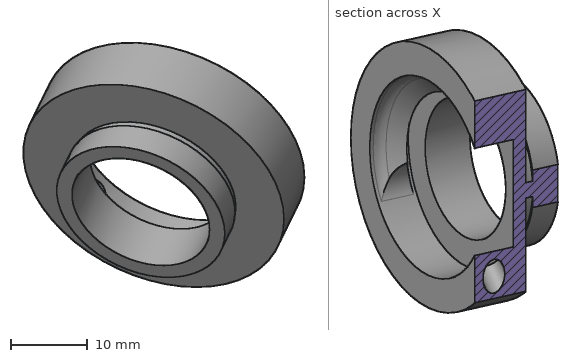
import cadquery as cq
import math

collar_diameter = 23.2
collar_length = 4.0
neck_diameter = 22.7
neck_length = 1.0
flange_diameter = 36.0
flange_thickness = 8.0
total_length = collar_length + neck_length + flange_thickness

bore_diameter = 19.0
socket_diameter = 27.0
socket_depth = 6.0
socket_floor = total_length - socket_depth

screw_diameter = 3.3
screw_from_back = 3.0
screw_angle = 224.0

lug_angle = screw_angle - 180.0
lug_half_span = 75.0
lug_from_back = 0.5
lug_crest_radius = 10.6
lug_end_radius = 3.7
lug_back_fillet = 2.0
lug_back_slope = math.radians(50.0)
lug_flank_slope = math.radians(30.0)

socket_radius = socket_diameter / 2
lug_back = total_length - lug_from_back
lug_root_radius = (socket_radius + flange_diameter / 2) / 2


def cylinder(diameter, start, length):
    """Cylinder on the Y axis, from Y = start."""
    return cq.Workplane("XZ", origin=(0, start, 0)).circle(diameter / 2).extrude(-length)


def polar(radius, degrees):
    """Point (X, Z) at a radius and angle about the Y axis."""
    angle = math.radians(degrees)
    return (radius * math.cos(angle), radius * math.sin(angle))


def radial_hole():
    """Round cutter from the axis outward through the flange wall."""
    outward_x, outward_z = polar(1, screw_angle)
    start = cq.Vector(0, total_length - screw_from_back, 0)
    outward = cq.Vector(outward_x, 0, outward_z)
    return cq.Workplane(cq.Solid.makeCylinder(screw_diameter / 2, flange_diameter, start, outward))


def lug_ring():
    """Full ring of the lug profile: undercut front flank, sloped back filleted into the socket wall."""

    def fillet_point(sweep):
        """Point (radius, Y) after the back fillet has turned away from the wall by the given sweep."""
        radius = socket_radius - lug_back_fillet * (1 - math.cos(sweep))
        return (radius, lug_back - lug_back_fillet * math.sin(sweep))

    slope_radius, slope_y = fillet_point(lug_back_slope)
    crest_y = slope_y - (slope_radius - lug_crest_radius) / math.tan(lug_back_slope)
    front_y = crest_y - (socket_radius - lug_crest_radius) * math.tan(lug_flank_slope)
    return (
        cq.Workplane("XY")
        .moveTo(lug_root_radius, front_y)
        .lineTo(socket_radius, front_y)
        .lineTo(lug_crest_radius, crest_y)
        .lineTo(slope_radius, slope_y)
        .threePointArc(fillet_point(lug_back_slope / 2), (socket_radius, lug_back))
        .lineTo(lug_root_radius, lug_back)
        .close()
        .revolve(360, (0, 0, 0), (0, 1, 0))
    )


def lug_plan():
    """Prism along Y that bounds the lug: a sector whose two ends curve out into the socket wall."""
    centre_radius = socket_radius - lug_end_radius

    def end_point(side, radius):
        """Point where the end arc has turned inward to the given radius."""
        cosine = (radius**2 + centre_radius**2 - lug_end_radius**2) / (2 * radius * centre_radius)
        return polar(radius, lug_angle + side * (lug_half_span - math.degrees(math.acos(cosine))))

    middle_radius = (socket_radius + lug_crest_radius) / 2
    low = lug_angle - lug_half_span
    high = lug_angle + lug_half_span
    return (
        cq.Workplane("XZ")
        .moveTo(0, 0)
        .lineTo(*end_point(-1, lug_crest_radius))
        .threePointArc(end_point(-1, middle_radius), polar(socket_radius, low))
        .lineTo(*polar(lug_root_radius, low))
        .threePointArc(polar(lug_root_radius, lug_angle), polar(lug_root_radius, high))
        .lineTo(*polar(socket_radius, high))
        .threePointArc(end_point(1, middle_radius), end_point(1, lug_crest_radius))
        .close()
        .extrude(-total_length)
    )


body = cylinder(collar_diameter, 0, collar_length)
body = body.union(cylinder(neck_diameter, collar_length, neck_length))
body = body.union(cylinder(flange_diameter, collar_length + neck_length, flange_thickness))
body = body.cut(cylinder(bore_diameter, 0, total_length))
body = body.cut(cylinder(socket_diameter, socket_floor, socket_depth))
body = body.cut(radial_hole())
result = body.union(lug_ring().intersect(lug_plan())).solids()